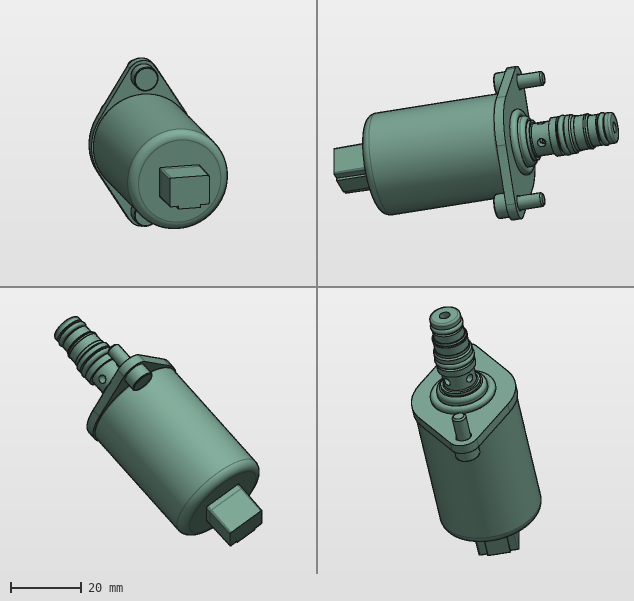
import cadquery as cq
import math


TOTAL_LENGTH = 81.6

TIP_DIA = 8.9
TIP_FILLET = 0.65
BORE_DIA = 3.0
TIP_GROOVE_START = 1.8
TIP_GROOVE_END = 4.25
TIP_GROOVE_DIA = 6.9
TIP_RING_DIA = 9.5
TIP_RING_SECTION = 1.55

LEAD_IN_START = 6.7
LEAD_IN_DIA = 9.5
BAND_DIA = 10.1
BAND_START = 7.3
BAND_END = 11.5
RELIEF_DIA = 9.9
RELIEF_START = 7.8
RELIEF_END = 10.6

LAND_DIA = 11.1
LAND_END = 17.9
LAND_GROOVE_START = 13.4
LAND_GROOVE_END = 15.8
LAND_GROOVE_DIA = 9.1
LAND_RING_DIA = 11.5
LAND_RING_SECTION = 1.6

NECK_DIA = 9.5
PORT_DIA = 2.4
PORT_X = 20.65
PORT_COUNT = 4
PORT_FIRST_ANGLE = 45.0

COLLAR_DIA = 11.5
COLLAR_START = 23.6
NECK_FLARE_DIA = 10.1
SHOULDER_DIA = 14.6
SHOULDER_START = 24.5
SHOULDER_FACE_DIA = 12.5
SHOULDER_ROUNDING = 1.5
FLANGE_RING_DIA = 18.9
FLANGE_RING_SECTION = 2.4
FLANGE_RING_X = 27.5

PLATE_START = 28.3
PLATE_THICKNESS = 2.8
PLATE_END = PLATE_START + PLATE_THICKNESS
PLATE_WIDTH = 30.2
PLATE_HEIGHT = 49.0
SCREW_SPACING = 40.0
SCREW_HOLE_DIA = 4.5

CAN_DIA = 29.3
CAN_END = 71.0
CAN_FRONT_FILLET = 0.4
CAN_REAR_FILLET = 2.5

PLUG_WIDTH = 11.9
PLUG_HEIGHT = 8.8
PLUG_ROOT_LENGTH = 1.6
PLUG_DRAFT = 1.0
PLUG_FILLET = 0.6
RIB_WIDTH = 6.5
RIB_BOTTOM = 5.1

SHANK_DIA = 4.0
SHANK_LENGTH = 9.95
SHANK_CHAMFER = 0.5
HEAD_DIA = 7.0
HEAD_LENGTH = 3.8
HEAD_CHAMFER = 0.25


def cylinder(x_start, x_end, diameter):
    """Cylinder on the X axis."""
    return cq.Workplane("YZ", origin=(x_start, 0, 0)).circle(diameter / 2).extrude(x_end - x_start)


def cone(x_start, x_end, start_diameter, end_diameter):
    """Truncated cone on the X axis."""
    return cq.Workplane(
        cq.Solid.makeCone(
            start_diameter / 2, end_diameter / 2, x_end - x_start, cq.Vector(x_start, 0, 0), cq.Vector(1, 0, 0)
        )
    )


def o_ring(x_center, outer_diameter, section):
    """Ring of circular section around the X axis."""
    mean_radius = (outer_diameter - section) / 2
    ring_section = cq.Workplane("XY", origin=(x_center, mean_radius, 0)).circle(section / 2)
    return ring_section.revolve(360, (0, -mean_radius, 0), (1, -mean_radius, 0))


def make_nose():
    """Stepped nose with its two O-rings, from the tip to the collar."""
    land_start = BAND_END + (LAND_DIA - BAND_DIA) / 2
    flare_start = COLLAR_START - (NECK_FLARE_DIA - NECK_DIA) / 2
    tip_land = cylinder(0, TIP_GROOVE_START, TIP_DIA).faces("<X").edges().fillet(TIP_FILLET)
    nose = (
        tip_land
        .union(cylinder(TIP_GROOVE_START, TIP_GROOVE_END, TIP_GROOVE_DIA))
        .union(cylinder(TIP_GROOVE_END, LEAD_IN_START, TIP_DIA))
        .union(cone(LEAD_IN_START, BAND_START, LEAD_IN_DIA, RELIEF_DIA))
        .union(cylinder(BAND_START, RELIEF_START, BAND_DIA))
        .union(cylinder(RELIEF_START, RELIEF_END, RELIEF_DIA))
        .union(cylinder(RELIEF_END, BAND_END, BAND_DIA))
        .union(cone(BAND_END, land_start, BAND_DIA, LAND_DIA))
        .union(cylinder(land_start, LAND_GROOVE_START, LAND_DIA))
        .union(cylinder(LAND_GROOVE_START, LAND_GROOVE_END, LAND_GROOVE_DIA))
        .union(cylinder(LAND_GROOVE_END, LAND_END, LAND_DIA))
        .union(cylinder(LAND_END, flare_start, NECK_DIA))
        .union(cone(flare_start, COLLAR_START, NECK_DIA, NECK_FLARE_DIA))
        .union(cylinder(COLLAR_START, SHOULDER_START, COLLAR_DIA))
    )
    tip_ring_x = (TIP_GROOVE_START + TIP_GROOVE_END) / 2
    land_ring_x = (LAND_GROOVE_START + LAND_GROOVE_END) / 2
    nose = nose.union(o_ring(tip_ring_x, TIP_RING_DIA, TIP_RING_SECTION))
    return nose.union(o_ring(land_ring_x, LAND_RING_DIA, LAND_RING_SECTION))


def make_shoulder():
    """Shoulder with a rounded front rim, and the O-ring between it and the plate."""
    face_radius = SHOULDER_FACE_DIA / 2
    rim_radius = SHOULDER_DIA / 2
    arc_center_radius = rim_radius - SHOULDER_ROUNDING
    arc_length_x = math.sqrt(SHOULDER_ROUNDING**2 - (face_radius - arc_center_radius) ** 2)
    arc_end = SHOULDER_START + arc_length_x
    shoulder = (
        cq.Workplane("XY")
        .moveTo(SHOULDER_START, 0)
        .lineTo(SHOULDER_START, face_radius)
        .radiusArc((arc_end, rim_radius), SHOULDER_ROUNDING)
        .lineTo(PLATE_START, rim_radius)
        .lineTo(PLATE_START, 0)
        .close()
        .revolve(360, (0, 0, 0), (1, 0, 0))
    )
    return shoulder.union(o_ring(FLANGE_RING_X, FLANGE_RING_DIA, FLANGE_RING_SECTION))


def make_plate():
    """Lozenge plate: a central arc and two end arcs joined by common tangents."""
    center_radius = PLATE_WIDTH / 2
    screw_z = SCREW_SPACING / 2
    end_radius = PLATE_HEIGHT / 2 - screw_z
    tangent_sin = (center_radius - end_radius) / screw_z
    tangent_cos = math.sqrt(1 - tangent_sin**2)
    side_y = center_radius * tangent_cos
    side_z = center_radius * tangent_sin
    end_y = end_radius * tangent_cos
    end_z = screw_z + end_radius * tangent_sin
    plate = (
        cq.Workplane("YZ", origin=(PLATE_START, 0, 0))
        .moveTo(side_y, -side_z)
        .threePointArc((center_radius, 0), (side_y, side_z))
        .lineTo(end_y, end_z)
        .threePointArc((0, PLATE_HEIGHT / 2), (-end_y, end_z))
        .lineTo(-side_y, side_z)
        .threePointArc((-center_radius, 0), (-side_y, -side_z))
        .lineTo(-end_y, -end_z)
        .threePointArc((0, -PLATE_HEIGHT / 2), (end_y, -end_z))
        .close()
        .extrude(PLATE_THICKNESS)
    )
    screw_holes = (
        cq.Workplane("YZ", origin=(PLATE_START, 0, 0))
        .pushPoints([(0, screw_z), (0, -screw_z)])
        .circle(SCREW_HOLE_DIA / 2)
        .extrude(PLATE_THICKNESS)
    )
    return plate.cut(screw_holes)


def make_can():
    """Cylindrical coil can with rounded ends."""
    can = cylinder(PLATE_END, CAN_END, CAN_DIA)
    can = can.faces("<X").edges().fillet(CAN_FRONT_FILLET)
    return can.faces(">X").edges().fillet(CAN_REAR_FILLET)


def make_plug():
    """Connector plug: a straight root, a slightly drafted body and a key rib underneath."""
    root_end = CAN_END + PLUG_ROOT_LENGTH
    body_length = TOTAL_LENGTH - root_end
    outline = cq.Sketch().rect(PLUG_WIDTH, PLUG_HEIGHT).vertices().fillet(PLUG_FILLET)
    root = cq.Workplane("YZ", origin=(CAN_END, 0, 0)).placeSketch(outline).extrude(PLUG_ROOT_LENGTH)
    body = cq.Workplane("YZ", origin=(root_end, 0, 0)).placeSketch(outline).extrude(body_length, taper=PLUG_DRAFT)
    rib = cq.Workplane("XY").box(
        TOTAL_LENGTH - CAN_END, RIB_WIDTH, RIB_BOTTOM, centered=(False, True, False)
    ).translate((CAN_END, 0, -RIB_BOTTOM))
    return root.union(body).union(rib)


def make_passages():
    """Axial bore from the tip, running to the far side of the radial ports in the neck."""
    passages = cylinder(0, PORT_X + PORT_DIA / 2, BORE_DIA)
    port = cq.Workplane("XY", origin=(PORT_X, 0, 0)).circle(PORT_DIA / 2).extrude(NECK_DIA)
    for index in range(PORT_COUNT):
        angle = PORT_FIRST_ANGLE + index * 360 / PORT_COUNT
        passages = passages.union(port.rotate((0, 0, 0), (1, 0, 0), angle))
    return passages


def make_valve():
    """Valve body: nose, shoulder, plate, can and plug as one solid, with its passages cut."""
    valve = make_nose().union(make_shoulder()).union(make_plate()).union(make_can()).union(make_plug())
    return valve.cut(make_passages())


def make_screw(z):
    """Screw with its head against the back of the plate and its shank pointing toward the tip."""
    head = cylinder(PLATE_END, PLATE_END + HEAD_LENGTH, HEAD_DIA).faces(">X").edges().chamfer(HEAD_CHAMFER)
    shank = cylinder(PLATE_END - SHANK_LENGTH, PLATE_END, SHANK_DIA)
    shank = shank.faces("<X").edges().chamfer(SHANK_CHAMFER)
    return head.union(shank).translate((0, 0, z))


valve = make_valve()
screws = [make_screw(side * SCREW_SPACING / 2) for side in (1, -1)]

result = cq.Compound.makeCompound([valve.val(), *[screw.val() for screw in screws]])